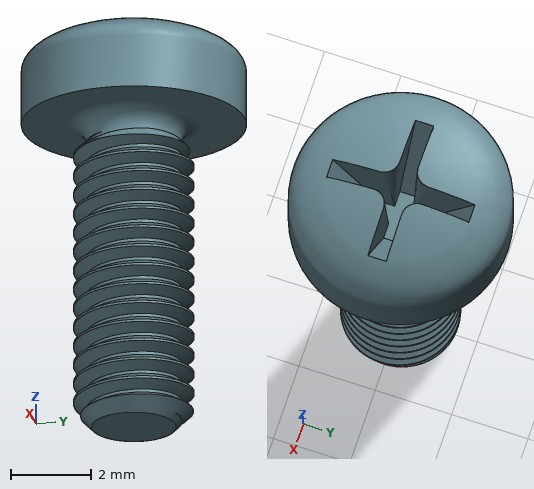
import cadquery as cq
import math

head_radius = 2.8
rim_height = 1.4
dome_height = 1.0
head_height = rim_height + dome_height

thread_radius = 1.5
pitch = 0.5
shank_length = 8.0
neck_length = 0.5
tip_chamfer = 0.45
thread_depth = 0.307
core_radius = thread_radius - thread_depth
crest_width = pitch / 8
flank_half_angle = math.radians(30)
first_crest_drop = pitch / 2
thread_overlap = 0.04
tip_radius = thread_radius - tip_chamfer
neck_flare_radius = core_radius + neck_length

trimmer_bore = core_radius / 2
trimmer_radius = 2 * thread_radius
trimmer_overrun = 2 * pitch

arm_width = 0.48
recess_top_reach = 1.866
recess_floor_reach = 0.64
recess_top_height = rim_height + dome_height * math.sqrt(1 - (recess_top_reach / head_radius) ** 2)
recess_floor_height = 0.0
arm_count = 4
arm_spacing = 360 / arm_count
corner_round = 0.4
apex_size_ratio = 0.02


def make_head():
    return (
        cq.Workplane("XZ")
        .lineTo(head_radius, 0)
        .lineTo(head_radius, rim_height)
        .ellipseArc(head_radius, dome_height, 0, 90, startAtCurrent=True)
        .close()
        .revolve(360, (0, 0), (0, 1))
    )


def make_core():
    """Plain core of the shank, flaring by a quarter circle into the bearing face."""
    return (
        cq.Workplane("XZ")
        .moveTo(0, 0)
        .lineTo(neck_flare_radius, 0)
        .radiusArc((core_radius, -neck_length), -neck_length)
        .lineTo(core_radius, core_radius - tip_radius - shank_length)
        .lineTo(tip_radius, -shank_length)
        .lineTo(0, -shank_length)
        .close()
        .revolve(360, (0, 0), (0, 1))
    )


def make_end_trimmer(end_height, end_radius, inward):
    """Ring that trims the thread flat at one end, with a 45 degree bevel.

    inward is the Z direction from that end into the thread: 1 or -1.
    """
    bevel_height = end_height + inward * (trimmer_radius - end_radius)
    outer_height = end_height - inward * trimmer_overrun
    return (
        cq.Workplane("XZ")
        .moveTo(trimmer_bore, end_height)
        .lineTo(end_radius, end_height)
        .lineTo(trimmer_radius, bevel_height)
        .lineTo(trimmer_radius, outer_height)
        .lineTo(trimmer_bore, outer_height)
        .close()
        .revolve(360, (0, 0), (0, 1))
    )


def make_thread():
    """Trapezoidal ridge swept along a helix and trimmed at both ends."""
    helix_start = -first_crest_drop - shank_length
    root_radius = core_radius - thread_overlap
    half_crest = crest_width / 2
    half_root = half_crest + (thread_radius - root_radius) * math.tan(flank_half_angle)
    helix = cq.Wire.makeHelix(pitch, shank_length, core_radius)
    ridge = (
        cq.Workplane("XZ")
        .moveTo(root_radius, -half_root)
        .lineTo(thread_radius, -half_crest)
        .lineTo(thread_radius, half_crest)
        .lineTo(root_radius, half_root)
        .close()
        .sweep(cq.Workplane(helix), isFrenet=True)
        .translate((0, 0, helix_start))
    )
    neck_trimmer = make_end_trimmer(-neck_length, core_radius, -1)
    tip_trimmer = make_end_trimmer(-shank_length, tip_radius, 1)
    return ridge.cut(neck_trimmer).cut(tip_trimmer)


def make_recess_slot():
    """One straight slot along X, narrowing from the top of the head to its floor."""
    arm_slope_height = recess_top_height - recess_floor_height
    end_slope = (recess_top_reach - recess_floor_reach) / arm_slope_height
    reach = recess_floor_reach + end_slope * (head_height - recess_floor_height)
    return (
        cq.Workplane("XZ")
        .moveTo(-recess_floor_reach, recess_floor_height)
        .lineTo(recess_floor_reach, recess_floor_height)
        .lineTo(reach, head_height)
        .lineTo(-reach, head_height)
        .close()
        .extrude(arm_width / 2, both=True)
    )


def make_corner_relief():
    """Cone-faced wedge that rounds the corner between the +X and +Y arms towards the top."""
    corner = arm_width / 2

    def wedge_outline(height, radius):
        return (
            cq.Workplane("XY", origin=(corner, corner, height))
            .lineTo(radius, 0)
            .radiusArc((0, radius), radius)
            .close()
            .wire()
            .val()
        )

    outlines = [
        wedge_outline(recess_floor_height, corner_round * apex_size_ratio),
        wedge_outline(head_height, corner_round),
    ]
    return cq.Workplane(cq.Solid.makeLoft(outlines, True))


def make_recess():
    slot = make_recess_slot()
    recess = slot.union(slot.rotate((0, 0, 0), (0, 0, 1), arm_spacing))
    relief = make_corner_relief()
    for arm in range(arm_count):
        recess = recess.union(relief.rotate((0, 0, 0), (0, 0, 1), arm_spacing * arm))
    return recess


result = make_head().cut(make_recess()).union(make_core()).union(make_thread())